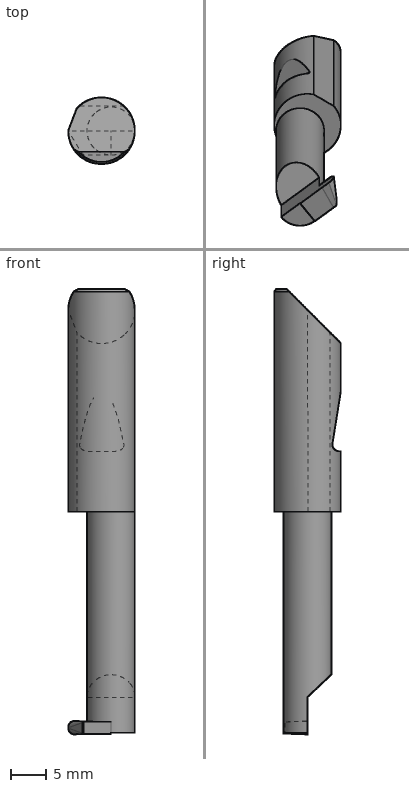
import cadquery as cq
import math

total_length = 63.45
shank_radius = 4.75
neck_radius = 3.4
shank_bottom = 31.7
neck_bottom = 0.25
neck_offset = shank_radius - neck_radius

bevel_start_y = -3.0
side_flat_y = 3.2
notch_y = 3.55
notch_bottom = 40.35
notch_corner = 0.95
notch_top = 48.85
rim_chamfer_width = 0.3
rim_chamfer_height = 0.4

relief_bottom = 5.3
relief_top = 8.55

tip_height = 1.95
nose_radius = 0.95
nose_flat = tip_height - 2 * nose_radius
shoulder_inset = 0.05
shoulder_x = -2.6
heel_inset = 0.1
heel_x = -2.65
heel_corner = 0.05
heel_land = 0.65
heel_chamfer = 0.3


def yz_prism(points):
    """Prism through the whole width in X, from (y, z) points."""
    return cq.Workplane("YZ").polyline(points).close().extrude(shank_radius, both=True)


def make_shank():
    shank = (
        cq.Workplane("XY", origin=(0, 0, shank_bottom))
        .circle(shank_radius)
        .extrude(total_length - shank_bottom)
        .faces(">Z")
        .chamfer(rim_chamfer_height, rim_chamfer_width)
    )

    bevel_drop = shank_radius - bevel_start_y
    bevel = yz_prism([
        (bevel_start_y, total_length),
        (shank_radius, total_length),
        (shank_radius, total_length - bevel_drop),
    ])

    side_flat_x = -math.sqrt(shank_radius**2 - side_flat_y**2)
    side_flat = (
        cq.Workplane("XY", origin=(0, 0, shank_bottom))
        .moveTo(-shank_radius, 0)
        .lineTo(side_flat_x, side_flat_y)
        .lineTo(-shank_radius, side_flat_y)
        .close()
        .extrude(total_length - shank_bottom)
    )

    notch = (
        cq.Workplane("YZ")
        .moveTo(shank_radius, notch_bottom)
        .lineTo(notch_y + notch_corner, notch_bottom)
        .radiusArc((notch_y, notch_bottom + notch_corner), notch_corner)
        .lineTo(shank_radius, notch_top)
        .close()
        .extrude(shank_radius, both=True)
    )
    return shank.cut(bevel).cut(side_flat).cut(notch)


def make_neck():
    neck = (
        cq.Workplane("XY", origin=(neck_offset, 0, neck_bottom))
        .circle(neck_radius)
        .extrude(shank_bottom - neck_bottom)
    )
    relief = yz_prism([
        (0, neck_bottom),
        (0, relief_bottom),
        (neck_radius, relief_top),
        (neck_radius, neck_bottom),
    ])
    return neck.cut(relief)


def tip_outline(plane, end_x, corner, end_flat, shoulder, inset):
    """Outline in X-Z with a rounded free end at end_x and a straight back at the neck centre."""
    middle = tip_height / 2
    half_flat = end_flat / 2
    half_height = half_flat + corner
    half_back = half_height - inset
    diagonal = corner * math.sqrt(0.5)
    return (
        plane.moveTo(neck_offset, middle - half_back)
        .lineTo(shoulder, middle - half_back)
        .lineTo(end_x + corner, middle - half_height)
        .threePointArc(
            (end_x + corner - diagonal, middle - half_flat - diagonal),
            (end_x, middle - half_flat),
        )
        .lineTo(end_x, middle + half_flat)
        .threePointArc(
            (end_x + corner - diagonal, middle + half_flat + diagonal),
            (end_x + corner, middle + half_height),
        )
        .lineTo(shoulder, middle + half_back)
        .lineTo(neck_offset, middle + half_back)
        .close()
    )


def make_tip():
    rake_face = tip_outline(
        cq.Workplane("XZ"), -shank_radius, nose_radius, nose_flat, shoulder_x, shoulder_inset
    )
    heel_flat = tip_height - 2 * heel_inset - 2 * heel_corner
    heel_shoulder_x = heel_x + heel_land
    tip = tip_outline(
        rake_face.workplane(offset=neck_radius),
        heel_x, heel_corner, heel_flat, heel_shoulder_x, 0,
    ).loft(ruled=True)
    heel_edge_x = heel_x - heel_chamfer
    corner_cut = (
        cq.Workplane("XY")
        .moveTo(heel_edge_x, -neck_radius + heel_chamfer)
        .lineTo(heel_x + heel_chamfer / 2, -neck_radius)
        .lineTo(heel_edge_x, -neck_radius)
        .close()
        .extrude(tip_height)
    )
    return tip.cut(corner_cut)


result = make_shank().union(make_neck()).union(make_tip())